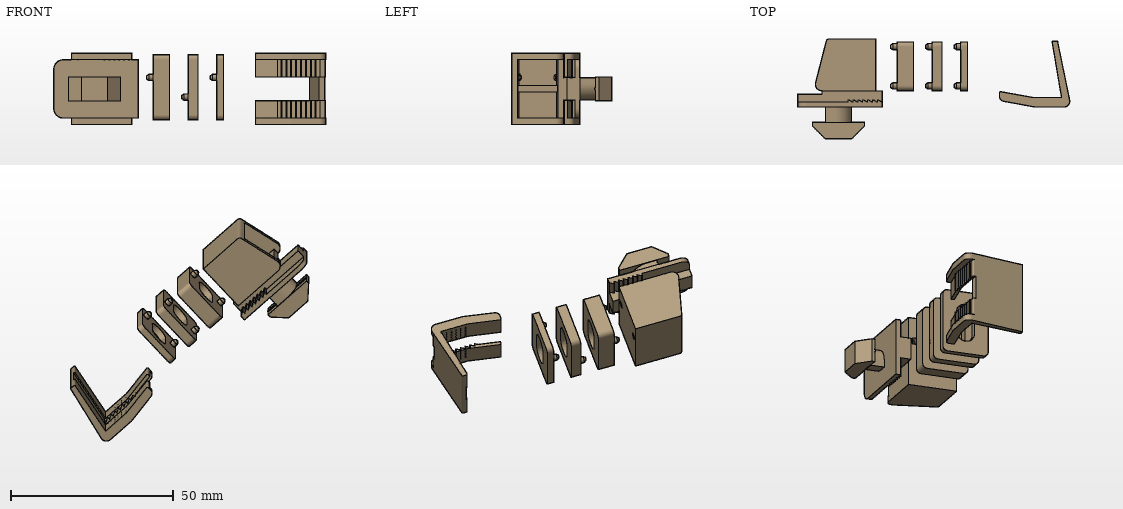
import cadquery as cq
import math


OVERALL_WIDTH = 22.0
WALL = 2.0
TOOTH_PITCH = 1.5
TOOTH_HEIGHT = 0.75
TOOTH_FLAT = 0.29
INNER_HALF = OVERALL_WIDTH / 2 - WALL
PIN_SPACING = 12.0

BOX_BOTTOM = 5.0
BOX_TOP = 21.0
BOX_BACK = 24.0
BOX_FRONT_BOTTOM = 4.85
BOX_FRONT_TOP = 8.9
BOX_BOTTOM_RADIUS = 2.0
BOX_TOP_RADIUS = 1.0
MOUTH_ANGLE = math.atan2(BOX_TOP - BOX_BOTTOM, BOX_FRONT_TOP - BOX_FRONT_BOTTOM)
MOUTH_STEP = BOX_FRONT_BOTTOM + BOX_BOTTOM_RADIUS / math.tan(MOUTH_ANGLE / 2)
CAVITY_MOUTH_HALF = 6.2
CAVITY_BACK_HALF = 5.8
CAVITY_BACK = BOX_BACK - WALL
BOX_MIDDLE = (BOX_BOTTOM + BOX_TOP) / 2
RIB_FRONT = 12.3
RIB_THICKNESS = 2.0
PIN_HOLE_DIAMETER = 2.1

PLATE_LENGTH = 26.0
PLATE_THICKNESS = 1.5
PLATE_CORNER_RADIUS = 3.0
WEB_HALF_WIDTH = 3.4
WEB_STEP = 4.0
PLATE_TOOTH_COUNT = 7

STUD_X = 12.5
NECK_LENGTH = 4.8
NECK_HALF_X = 4.0
NECK_HALF_Z = 3.4
NECK_RADIUS = 4.85
HEAD_HALF_X = 8.0
HEAD_HALF_Z = 3.7
HEAD_HEIGHT = 5.0
HEAD_RIM = 1.0
HEAD_BEVEL = HEAD_HEIGHT - HEAD_RIM
RIDGE_HALF_WIDTH = 0.5
RIDGE_HEIGHT = 0.25

SPACERS = [(30.5, 5.1, 1), (41.3, 3.1, -1), (50.0, 2.1, 1)]
SPACER_Y = 12.5
SPACER_Z = 0.5
PIN_OFFSET = 3.0
SPACER_HEIGHT = 15.0
SPACER_WIDTH = 20.05
SPACER_RADIUS = 1.5
SLOT_LENGTH = 12.0
SLOT_WIDTH = 6.0
PIN_DIAMETER = 2.0
PIN_LENGTH = 2.0
PIN_TIP_DIAMETER = 1.0
PIN_CONE = 0.75

CLIP_FRONT = 61.9
PRONG_END_INNER = 4.85
PRONG_END_OUTER = 2.0
PRONG_THICKNESS = 3.0
BEND_INNER_X = 72.2
BEND_OUTER_X = 72.8
CORNER_INNER_X = 80.9
CORNER_OUTER_X = 83.95
LEG_TOP = 20.3
LEG_TIP_INNER_X = 78.0
LEG_TIP_OUTER_X = 79.8
LEG_TIP_RADIUS = 0.3
CORNER_RADIUS = 1.8
PRONG_END_RADIUS = 1.6
PRONG_LIP_RADIUS = 0.4
STRIP_THICKNESS = 1.1
CLIP_TOOTH_COUNT = 9
CLIP_TOOTH_TIP_Y = PRONG_THICKNESS - STRIP_THICKNESS
CLIP_TOOTH_ROOT_Y = CLIP_TOOTH_TIP_Y + TOOTH_HEIGHT
FIRST_TIP_X = 69.75
STRIP_END_Y = 2.4
STRIP_END_RADIUS = 0.4
GAP_HALF_WIDTH = 3.6
LEG_RECESS = 0.4


def block(x_min, x_max, y_min, y_max, z_half):
    """Box that is symmetric about Z = 0."""
    size = (x_max - x_min, y_max - y_min, 2 * z_half)
    centre = ((x_min + x_max) / 2, (y_min + y_max) / 2, 0)
    return cq.Workplane("XY").box(*size).translate(centre)


def prism(points, z_half):
    """XY outline extruded symmetrically about Z = 0."""
    return cq.Workplane("XY").polyline(points).close().extrude(z_half, both=True)


def round_corner(body, x, y, radius, z=0):
    """Round the edge along Z whose middle is nearest to a point."""
    edge = cq.selectors.NearestToPointSelector((x, y, z))
    return body.edges("|Z").edges(edge).fillet(radius)


def make_box():
    half = OVERALL_WIDTH / 2
    box = prism(
        [
            (BOX_FRONT_BOTTOM, BOX_BOTTOM),
            (BOX_BACK, BOX_BOTTOM),
            (BOX_BACK, BOX_TOP),
            (BOX_FRONT_TOP, BOX_TOP),
        ],
        half,
    )
    box = round_corner(box, BOX_FRONT_BOTTOM, BOX_BOTTOM, BOX_BOTTOM_RADIUS)
    box = round_corner(box, BOX_FRONT_TOP, BOX_TOP, BOX_TOP_RADIUS)
    cavity = prism(
        [
            (MOUTH_STEP, BOX_MIDDLE - CAVITY_MOUTH_HALF),
            (CAVITY_BACK, BOX_MIDDLE - CAVITY_BACK_HALF),
            (CAVITY_BACK, BOX_MIDDLE + CAVITY_BACK_HALF),
            (MOUTH_STEP, BOX_MIDDLE + CAVITY_MOUTH_HALF),
        ],
        INNER_HALF,
    )
    mouth = block(0, MOUTH_STEP, BOX_BOTTOM, BOX_MIDDLE + CAVITY_MOUTH_HALF, INNER_HALF)
    box = box.cut(cavity).cut(mouth)
    rib = block(RIB_FRONT, CAVITY_BACK, BOX_BOTTOM, BOX_TOP, RIB_THICKNESS / 2)
    pin_holes = (
        cq.Workplane("YZ", origin=(CAVITY_BACK, BOX_MIDDLE, SPACER_Z + PIN_OFFSET))
        .pushPoints([(-PIN_SPACING / 2, 0), (PIN_SPACING / 2, 0)])
        .circle(PIN_HOLE_DIAMETER / 2)
        .extrude(WALL)
    )
    return box.union(rib).cut(pin_holes)


def make_plate():
    plate = block(0, PLATE_LENGTH, 0, PLATE_THICKNESS, INNER_HALF)
    plate = plate.edges("|Y and <X").fillet(PLATE_CORNER_RADIUS)
    first_tooth = PLATE_LENGTH - PLATE_TOOTH_COUNT * TOOTH_PITCH
    for index in range(PLATE_TOOTH_COUNT):
        x = first_tooth + index * TOOTH_PITCH
        tooth = [
            (x, PLATE_THICKNESS),
            (x + TOOTH_PITCH, PLATE_THICKNESS),
            (x + TOOTH_FLAT, PLATE_THICKNESS + TOOTH_HEIGHT),
            (x, PLATE_THICKNESS + TOOTH_HEIGHT),
        ]
        plate = plate.union(prism(tooth, INNER_HALF))
    web = block(0, PLATE_LENGTH, PLATE_THICKNESS, WEB_STEP, WEB_HALF_WIDTH)
    web_root = block(MOUTH_STEP, PLATE_LENGTH, WEB_STEP, BOX_BOTTOM, WEB_HALF_WIDTH)
    return plate.union(web).union(web_root)


def make_stud():
    neck = block(STUD_X - NECK_HALF_X, STUD_X + NECK_HALF_X, -NECK_LENGTH, 0, NECK_HALF_Z)
    for side in (-1, 1):
        corner = (STUD_X + side * NECK_HALF_X, -NECK_LENGTH / 2, side * NECK_HALF_Z)
        edge = cq.selectors.NearestToPointSelector(corner)
        neck = neck.edges("|Y").edges(edge).fillet(NECK_RADIUS)

    rim_y = -NECK_LENGTH - HEAD_RIM
    head_end = -NECK_LENGTH - HEAD_HEIGHT
    tip_half = HEAD_HALF_X - HEAD_BEVEL
    head = prism(
        [
            (STUD_X - HEAD_HALF_X, -NECK_LENGTH),
            (STUD_X - HEAD_HALF_X, rim_y),
            (STUD_X - tip_half, head_end),
            (STUD_X + tip_half, head_end),
            (STUD_X + HEAD_HALF_X, rim_y),
            (STUD_X + HEAD_HALF_X, -NECK_LENGTH),
        ],
        HEAD_HALF_Z,
    )
    ridge = (
        cq.Workplane("YZ", origin=(STUD_X, -NECK_LENGTH, 0))
        .moveTo(0, -RIDGE_HALF_WIDTH)
        .threePointArc((RIDGE_HEIGHT, 0), (0, RIDGE_HALF_WIDTH))
        .close()
        .extrude(HEAD_HALF_X, both=True)
    )
    return neck.union(head).union(ridge)


def make_spacer(x, thickness, pin_side):
    pin_z = SPACER_Z + pin_side * PIN_OFFSET
    plate = (
        cq.Workplane("YZ", origin=(x, SPACER_Y, SPACER_Z))
        .rect(SPACER_HEIGHT, SPACER_WIDTH)
        .extrude(thickness)
        .edges("|X")
        .fillet(SPACER_RADIUS)
    )
    slot = (
        cq.Workplane("YZ", origin=(x, SPACER_Y, SPACER_Z))
        .slot2D(SLOT_LENGTH, SLOT_WIDTH, 90)
        .extrude(thickness)
    )
    spacer = plate.cut(slot)
    for side in (-1, 1):
        pin = (
            cq.Workplane("XY", origin=(x, SPACER_Y + side * PIN_SPACING / 2, pin_z))
            .polyline(
                [
                    (0, 0),
                    (-PIN_LENGTH, 0),
                    (-PIN_LENGTH, PIN_TIP_DIAMETER / 2),
                    (PIN_CONE - PIN_LENGTH, PIN_DIAMETER / 2),
                    (0, PIN_DIAMETER / 2),
                ]
            )
            .close()
            .revolve(360, (0, 0, 0), (1, 0, 0))
        )
        spacer = spacer.union(pin)
    return spacer


def make_clip_blank():
    blank = prism(
        [
            (CLIP_FRONT, PRONG_END_INNER),
            (BEND_INNER_X, PRONG_THICKNESS),
            (CORNER_INNER_X, PRONG_THICKNESS),
            (LEG_TIP_INNER_X, LEG_TOP),
            (LEG_TIP_OUTER_X, LEG_TOP),
            (CORNER_OUTER_X, 0),
            (BEND_OUTER_X, 0),
            (CLIP_FRONT, PRONG_END_OUTER),
        ],
        OVERALL_WIDTH / 2,
    )
    blank = round_corner(blank, LEG_TIP_INNER_X, LEG_TOP, LEG_TIP_RADIUS)
    blank = round_corner(blank, LEG_TIP_OUTER_X, LEG_TOP, LEG_TIP_RADIUS)
    blank = round_corner(blank, CORNER_OUTER_X, 0, CORNER_RADIUS)
    blank = round_corner(blank, CLIP_FRONT, PRONG_END_INNER, PRONG_LIP_RADIUS)
    return round_corner(blank, CLIP_FRONT, PRONG_END_OUTER, PRONG_END_RADIUS)


def make_tooth_channel():
    """Space below the gripping strips, with the saw teeth left standing."""
    strip_slope = (PRONG_END_INNER - PRONG_THICKNESS) / (BEND_INNER_X - CLIP_FRONT)
    tooth_slope = TOOTH_HEIGHT / (TOOTH_PITCH - TOOTH_FLAT)
    strip_start_y = PRONG_END_INNER - STRIP_THICKNESS
    first_line_y = CLIP_TOOTH_TIP_Y + tooth_slope * (FIRST_TIP_X - CLIP_FRONT)
    first_root = (first_line_y - strip_start_y) / (tooth_slope - strip_slope)
    below = -0.8
    outline = [
        (CLIP_FRONT, below),
        (CLIP_FRONT, strip_start_y),
        (CLIP_FRONT + first_root, strip_start_y - strip_slope * first_root),
    ]
    for index in range(CLIP_TOOTH_COUNT - 1):
        x = FIRST_TIP_X + index * TOOTH_PITCH
        outline.append((x, CLIP_TOOTH_TIP_Y))
        outline.append((x, CLIP_TOOTH_ROOT_Y))
        outline.append((x + TOOTH_FLAT, CLIP_TOOTH_ROOT_Y))
    last_tip_x = FIRST_TIP_X + (CLIP_TOOTH_COUNT - 1) * TOOTH_PITCH
    outline.append((last_tip_x, CLIP_TOOTH_TIP_Y))
    outline.append((last_tip_x, STRIP_END_Y))
    outline.append((CORNER_OUTER_X, STRIP_END_Y))
    outline.append((CORNER_OUTER_X, below))
    return prism(outline, INNER_HALF)


def make_leg_gap():
    """Gap that parts the two prongs and thins the inner side of the leg."""
    leg_rise = LEG_TOP - PRONG_THICKNESS
    leg_run = CORNER_INNER_X - LEG_TIP_INNER_X
    leg_slope = leg_run / leg_rise
    recess_x = LEG_RECESS * math.hypot(1, leg_slope)
    foot_x = CORNER_INNER_X + recess_x
    foot_width = CORNER_OUTER_X - foot_x
    below = -0.8
    outline = [
        (CLIP_FRONT, below),
        (CLIP_FRONT, LEG_TOP),
        (LEG_TIP_INNER_X + recess_x, LEG_TOP),
        (foot_x, PRONG_THICKNESS),
        (CORNER_OUTER_X, PRONG_THICKNESS + leg_slope * foot_width),
        (CORNER_OUTER_X, below),
    ]
    return prism(outline, GAP_HALF_WIDTH)


def make_clip():
    clip = make_clip_blank().cut(make_tooth_channel()).cut(make_leg_gap())
    leg_slope = (CORNER_OUTER_X - LEG_TIP_OUTER_X) / LEG_TOP
    strip_end_x = CORNER_OUTER_X - leg_slope * STRIP_END_Y
    strip_z = (INNER_HALF + GAP_HALF_WIDTH) / 2
    for z in (-strip_z, strip_z):
        clip = round_corner(clip, strip_end_x, STRIP_END_Y, STRIP_END_RADIUS, z)
    return clip


housing = make_box().union(make_plate()).union(make_stud())
spacers = [make_spacer(*spacer) for spacer in SPACERS]
clip = make_clip()

result = cq.Compound.makeCompound(
    [housing.val(), *[spacer.val() for spacer in spacers], clip.val()]
)